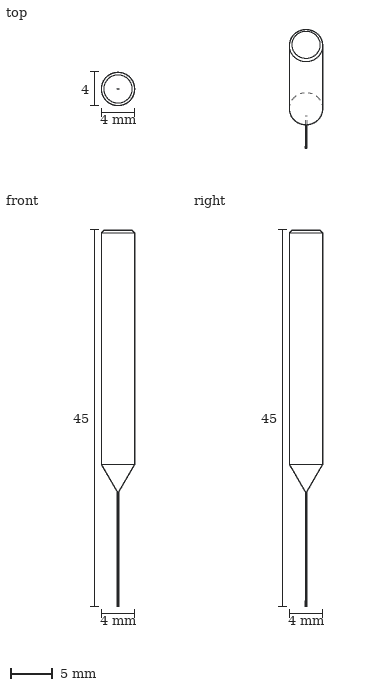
import cadquery as cq

TOTAL_LENGTH = 45.0
SHANK_DIAMETER = 4.0
SHANK_LENGTH = 28.0
CHAMFER_SIZE = 0.3
NECK_TOP_HEIGHT = 13.72
NECK_DIAMETER = 0.19
NECK_BOTTOM_HEIGHT = 0.75
CUTTER_LENGTH = 0.22
CUTTER_DIAMETER = 0.2

shank_radius = SHANK_DIAMETER / 2
neck_radius = NECK_DIAMETER / 2
cutter_radius = CUTTER_DIAMETER / 2
shank_bottom_height = TOTAL_LENGTH - SHANK_LENGTH


def make_shank():
    """Round shank with a chamfered upper end."""
    return (
        cq.Workplane("XY", origin=(0, 0, shank_bottom_height))
        .circle(shank_radius)
        .extrude(SHANK_LENGTH)
        .faces(">Z")
        .chamfer(CHAMFER_SIZE)
    )


def make_cutting_part():
    """Cone below the shank, slim neck, and slightly flared cutting tip."""
    outline = [
        (0, 0),
        (cutter_radius, 0),
        (cutter_radius, CUTTER_LENGTH),
        (neck_radius, NECK_BOTTOM_HEIGHT),
        (neck_radius, NECK_TOP_HEIGHT),
        (shank_radius, shank_bottom_height),
        (0, shank_bottom_height),
    ]
    return (
        cq.Workplane("XZ")
        .polyline(outline)
        .close()
        .revolve(360, (0, 0, 0), (0, 1, 0))
    )


shank = make_shank()
cutting_part = make_cutting_part()

result = cq.Compound.makeCompound([shank.val(), cutting_part.val()])